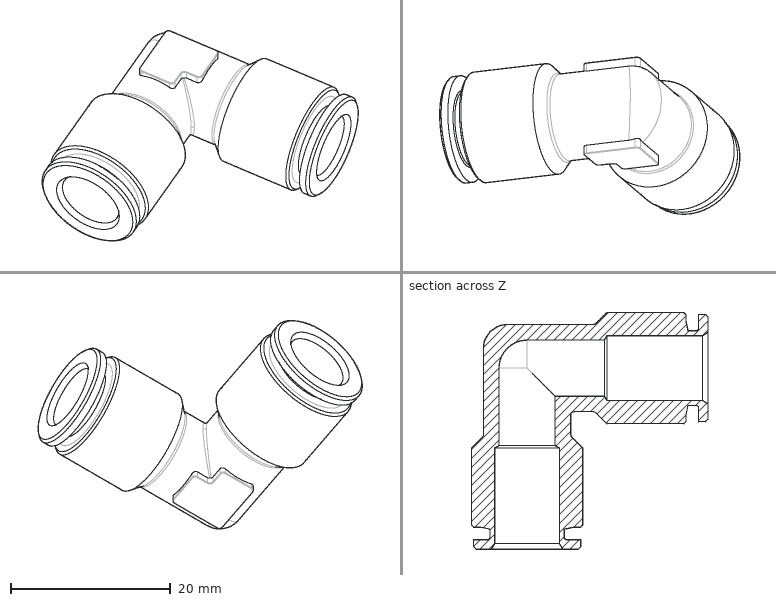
import cadquery as cq
import math

overall_length = 29.7
body_dia = 14.0
body_radius = body_dia / 2
arm_end = overall_length - body_radius

neck_radius = 5.5
outer_corner_radius = 3.0
inner_corner_radius = 0.3

shoulder_start = 10.0
neck_blend_radius = 0.5
body_end = 19.95
body_chamfer = 0.3

lip_height = 0.25
lip_radius = 5.85
collar_radius = 4.7
flange_radius = 6.75
flange_thickness = 1.22
flange_chamfer = 0.33
collar_flare = 0.18

bore_radius = 3.5
socket_radius = 4.05
socket_floor = shoulder_start
stop_taper_length = 0.3
mouth_radius = 4.48
mouth_depth = 0.7

plate_leg = 5.02
plate_half_width = 2.5
plate_span = 12.0
plate_corner_radius = 0.5
plate_edge_radius = 0.1


def revolve_about_x(profile):
    return profile.close().revolve(360, (0, 0, 0), (1, 0, 0))


def along_minus_y(arm):
    """Turn a shape lying along +X so that it lies along -Y."""
    return arm.rotate((0, 0, 0), (0, 0, 1), -90)


def make_elbow():
    """Two mitred necks with their common corner closed by the overlap of both tubes."""
    neck = cq.Workplane("YZ").circle(neck_radius).extrude(shoulder_start)
    corner_x = cq.Workplane("YZ").circle(neck_radius).extrude(neck_radius, both=True)
    corner = corner_x.intersect(along_minus_y(corner_x))
    return neck.union(along_minus_y(neck)).union(corner).clean()


def make_plate():
    """One block through the elbow, so that its two ends form both plates."""
    return (
        cq.Workplane("XY")
        .moveTo(-plate_half_width, plate_half_width)
        .lineTo(plate_leg, plate_half_width)
        .lineTo(plate_leg, -plate_half_width)
        .lineTo(plate_half_width, -plate_half_width)
        .lineTo(plate_half_width, -plate_leg)
        .lineTo(-plate_half_width, -plate_leg)
        .close()
        .extrude(plate_span / 2, both=True)
        .edges("|Z")
        .fillet(plate_corner_radius)
        .faces("<Z or >Z")
        .edges()
        .fillet(plate_edge_radius)
    )


def make_arm():
    """Cone, body, collar and flange along +X."""
    cone_start = shoulder_start - (body_radius - neck_radius)
    blend_length = neck_blend_radius * math.tan(math.radians(45 / 2))
    blend_rise = blend_length * math.sin(math.radians(45))
    flange_start = arm_end - flange_thickness
    profile = (
        cq.Workplane("XY")
        .moveTo(neck_radius, 0)
        .lineTo(neck_radius, neck_radius)
        .lineTo(cone_start - blend_length, neck_radius)
        .tangentArcPoint((blend_length + blend_rise, blend_rise))
        .lineTo(shoulder_start, body_radius)
        .lineTo(body_end - body_chamfer, body_radius)
        .lineTo(body_end, body_radius - body_chamfer)
        .lineTo(body_end, lip_radius)
        .lineTo(body_end + lip_height, collar_radius)
        .lineTo(flange_start - collar_flare, collar_radius)
        .lineTo(flange_start, collar_radius + collar_flare)
        .lineTo(flange_start, flange_radius)
        .lineTo(arm_end - flange_chamfer, flange_radius)
        .lineTo(arm_end, flange_radius - flange_chamfer)
        .lineTo(arm_end, 0)
    )
    return revolve_about_x(profile)


def make_socket():
    """Bore from the crossing of the axes, tapered tube stop, socket and flared mouth, along +X."""
    profile = (
        cq.Workplane("XY")
        .lineTo(0, bore_radius)
        .lineTo(socket_floor - stop_taper_length, bore_radius)
        .lineTo(socket_floor, socket_radius)
        .lineTo(arm_end - mouth_depth, socket_radius)
        .lineTo(arm_end, mouth_radius)
        .lineTo(arm_end, 0)
    )
    return revolve_about_x(profile)


def make_bore_end():
    """Quarter ball that closes the bores on the outer side of the corner."""
    return (
        cq.Workplane("XZ")
        .moveTo(0, -bore_radius)
        .threePointArc((-bore_radius, 0), (0, bore_radius))
        .close()
        .revolve(90, (0, 0.3, 0), (0, 0, 0))
    )


def blend_mitre(solid, side, radius):
    """Round the mitre edges left clear of the plates on the inner (+1) or outer (-1) corner."""
    clear_of_plate = plate_half_width + 2 * plate_corner_radius
    near_point = (side * clear_of_plate, -side * clear_of_plate, -neck_radius)
    far_point = (side * neck_radius, -side * neck_radius, neck_radius)
    return solid.edges(cq.selectors.BoxSelector(near_point, far_point)).fillet(radius)


elbow = make_elbow().union(make_plate())
elbow = blend_mitre(elbow, -1, outer_corner_radius)
elbow = blend_mitre(elbow, 1, inner_corner_radius)

arm = make_arm()
socket = make_socket()
bore_end = make_bore_end()

result = (
    elbow.union(arm)
    .union(along_minus_y(arm))
    .cut(bore_end)
    .cut(socket)
    .cut(along_minus_y(socket))
)